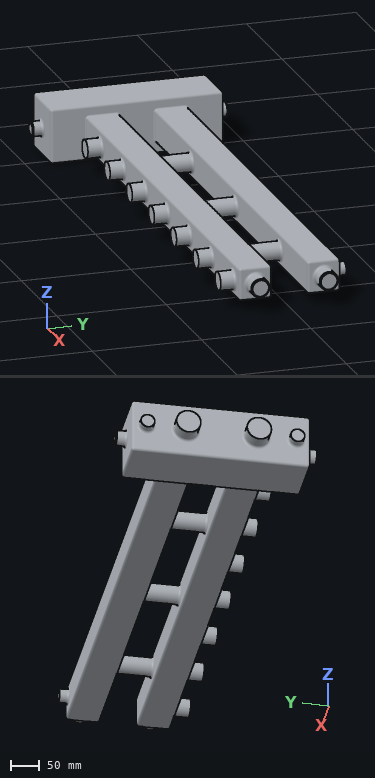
import cadquery as cq
import math

outlet_count = 7
outlet_row_length = 750.0
first_outlet_x = 131.0
outlet_pitch = outlet_row_length / (outlet_count - 1)

box_width = 101.0
box_length = 316.0
box_height = 101.0
edge_radius = 5.0

tube_size = 60.0
tube_pitch = outlet_pitch
tube_length = 861.0
tube_weld = 3.0

stub_weld = 5.0
overlap = 5.0
supply_diameter = 43.0
supply_length = 29.0
outlet_diameter = 34.0
outlet_length = 29.0
end_diameter = 34.0
end_length = 30.0
end_chamfer = 2.0
sensor_diameter = 24.0
sensor_length = 17.0
drain_diameter = 27.0
drain_length = 20.0
drain_chamfer = 2.0

sensor_offset_y = 133.0

box_side_x = box_width / 2
box_side_y = box_length / 2
tube_end_x = box_side_x + tube_length
tube_rows = (-tube_pitch / 2, tube_pitch / 2)
tube_gap = tube_pitch - tube_size
tubes_side_y = tube_pitch / 2 + tube_size / 2
weld_bulge = stub_weld * (1 - math.cos(math.radians(45)))
outlet_places = [first_outlet_x + outlet_pitch * i for i in range(outlet_count)]


def header():
    """Box with both tubes, rounded edges and a weld fillet where the tubes meet the box."""
    body = cq.Workplane().box(box_width, box_length, box_height).edges().fillet(edge_radius)
    for y in tube_rows:
        tube = cq.Workplane("YZ", origin=(0, y, 0)).rect(tube_size, tube_size).extrude(tube_end_x)
        body = body.union(tube.edges("|X or >X").fillet(edge_radius))
    margin = 1.0
    joint = cq.selectors.BoxSelector(
        (box_side_x - margin, -tubes_side_y - margin, -tube_size / 2 - margin),
        (box_side_x + margin, tubes_side_y + margin, tube_size / 2 + margin),
    )
    return body.edges(joint).fillet(tube_weld)


def root_profile(radius):
    """Half outline of a pipe root: a buried foot and the concave weld fillet above it."""
    weld_radius = radius + stub_weld
    return (
        cq.Workplane("XZ")
        .moveTo(0, -overlap)
        .lineTo(weld_radius, -overlap)
        .lineTo(weld_radius, 0)
        .threePointArc((radius + weld_bulge, weld_bulge), (radius, stub_weld))
    )


def turn_and_place(profile, root, direction):
    """Turn a closed half outline about the pipe axis and stand it on a flat face."""
    turned = profile.revolve(360, (0, 0, 0), (0, 1, 0))
    return turned.val().moved(cq.Plane(origin=root, normal=direction).location)


def stub(root, direction, diameter, length, chamfer=0):
    """Solid round pipe stub with a weld at its root."""
    radius = diameter / 2
    profile = root_profile(radius).lineTo(radius, length - chamfer)
    if chamfer:
        profile = profile.lineTo(radius - chamfer, length)
    return turn_and_place(profile.lineTo(0, length).close(), root, direction)


def bridge(x):
    """Solid round pipe across the gap between the tubes, welded at both ends."""
    radius = outlet_diameter / 2
    weld_radius = radius + stub_weld
    profile = (
        root_profile(radius)
        .lineTo(radius, tube_gap - stub_weld)
        .threePointArc((radius + weld_bulge, tube_gap - weld_bulge), (weld_radius, tube_gap))
        .lineTo(weld_radius, tube_gap + overlap)
        .lineTo(0, tube_gap + overlap)
        .close()
    )
    return turn_and_place(profile, (x, -tube_gap / 2, 0), (0, 1, 0))


result = header()

for y in tube_rows:
    result = result.union(stub((-box_side_x, y, 0), (-1, 0, 0), supply_diameter, supply_length))
    result = result.union(stub((tube_end_x, y, 0), (1, 0, 0), end_diameter, end_length, end_chamfer))

for side in (-1, 1):
    sensor_root = (-box_side_x, side * sensor_offset_y, 0)
    result = result.union(stub(sensor_root, (-1, 0, 0), sensor_diameter, sensor_length))
    drain_root = (0, side * box_side_y, 0)
    result = result.union(stub(drain_root, (0, side, 0), drain_diameter, drain_length, drain_chamfer))

for x in outlet_places:
    result = result.union(stub((x, -tubes_side_y, 0), (0, -1, 0), outlet_diameter, outlet_length))

for x in outlet_places[1::2]:
    result = result.union(bridge(x))

back_sensor_root = (outlet_places[-1], tubes_side_y, 0)
result = result.union(stub(back_sensor_root, (0, 1, 0), sensor_diameter, sensor_length))